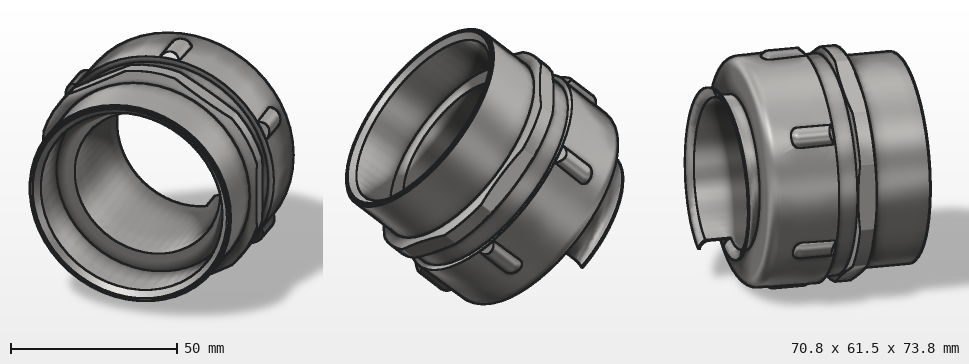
import cadquery as cq
import math

BARREL_DIAMETER = 64.3
BARREL_EDGE_CHAMFER = 0.45
BARREL_END = 17.05

NECK_DIAMETER = 67.2
NECK_END = 29.8

HEX_SIDES = 6
HEX_END = 23.6
HEX_ACROSS_FLATS = 68.1
HEX_CORNER_DIAMETER = 71.3
HEX_EDGE_ROUND = 1.85
HEX_FRONT_BEVEL_RADIUS = 32.25
HEX_FRONT_BEVEL_LENGTH = 1.2
HEX_REAR_BEVEL_RADIUS = NECK_DIAMETER / 2
HEX_REAR_BEVEL_LENGTH = 0.75

CAP_BASE_DIAMETER = 70.8
CAP_SHOULDER_DIAMETER = 70.1
CAP_END = 51.3
CAP_EDGE_RADIUS = 3.4

RIB_COUNT = 6
RIB_TILT = 3.2
RIB_RADIUS = 3.7
RIB_END = 43.2
RIB_END_ROUND = 2.4
RIB_BASE_BEVEL = 1.7
RIB_OVERALL_HEIGHT = 73.8
RIB_CENTER_RADIUS = (RIB_OVERALL_HEIGHT / 2 - RIB_RADIUS) / math.cos(math.radians(RIB_TILT))
RIB_TIP_RADIUS = RIB_CENTER_RADIUS + RIB_RADIUS

SOCKET_DIAMETER = 58.0
SOCKET_MOUTH_DIAMETER = 62.0
SOCKET_MOUTH_LENGTH = 1.7
SOCKET_DEPTH = 15.8
BORE_DIAMETER = 46.4

SPOUT_DIAMETER = 47.4
LIP_DIAMETER = 52.6
LIP_START = 53.6
LIP_END = 61.5
LIP_SEAM_ANGLE = -75.0
SPOUT_ROOT_LENGTH = 11.1
SPOUT_INNER_STOCK = 0.45
FLARE_OVERRUN = 1.85


def along_axis(upright):
    """Turn a solid built along +Z so that it runs along +Y, keeping +X in place."""
    return upright.rotate((0, 0, 0), (1, 0, 0), -90)


def make_turned_body():
    """Solid of revolution forming the barrel, neck and cap."""
    barrel_radius = BARREL_DIAMETER / 2
    neck_radius = NECK_DIAMETER / 2
    shoulder_radius = CAP_SHOULDER_DIAMETER / 2
    shoulder = CAP_END - CAP_EDGE_RADIUS
    arc_offset = CAP_EDGE_RADIUS * (1 - math.sqrt(0.5))
    return (
        cq.Workplane("XY")
        .lineTo(barrel_radius - BARREL_EDGE_CHAMFER, 0)
        .lineTo(barrel_radius, BARREL_EDGE_CHAMFER)
        .lineTo(barrel_radius, HEX_END - HEX_REAR_BEVEL_LENGTH)
        .lineTo(neck_radius, HEX_END - HEX_REAR_BEVEL_LENGTH)
        .lineTo(neck_radius, NECK_END)
        .lineTo(CAP_BASE_DIAMETER / 2, NECK_END)
        .lineTo(shoulder_radius, shoulder)
        .threePointArc(
            (shoulder_radius - arc_offset, CAP_END - arc_offset),
            (shoulder_radius - CAP_EDGE_RADIUS, CAP_END),
        )
        .lineTo(0, CAP_END)
        .close()
        .revolve(360, (0, 0), (0, 1))
    )


def make_hexagon():
    """Hexagon with corners on the Z axis, trimmed by a double-bevelled disc."""
    length = HEX_END - BARREL_END
    corner_radius = HEX_CORNER_DIAMETER / 2
    across_corners = HEX_ACROSS_FLATS / math.cos(math.pi / HEX_SIDES)
    prism = (
        cq.Workplane("XY")
        .polygon(HEX_SIDES, across_corners)
        .extrude(length)
        .rotate((0, 0, 0), (0, 0, 1), 180 / HEX_SIDES)
        .intersect(cq.Workplane("XY").circle(corner_radius).extrude(length))
        .edges("|Z")
        .fillet(HEX_EDGE_ROUND)
    )
    disc = (
        cq.Workplane("XY")
        .moveTo(0, BARREL_END)
        .lineTo(HEX_FRONT_BEVEL_RADIUS, BARREL_END)
        .lineTo(corner_radius, BARREL_END + HEX_FRONT_BEVEL_LENGTH)
        .lineTo(corner_radius, HEX_END - HEX_REAR_BEVEL_LENGTH)
        .lineTo(HEX_REAR_BEVEL_RADIUS, HEX_END)
        .lineTo(0, HEX_END)
        .close()
        .revolve(360, (0, 0), (0, 1))
    )
    return along_axis(prism).translate((0, BARREL_END, 0)).intersect(disc)


def make_ribs():
    """Round-ended ribs whose front ends are trimmed by a shared conical bevel."""
    rib = (
        cq.Workplane("XY")
        .circle(RIB_RADIUS)
        .extrude(RIB_END - NECK_END)
        .faces(">Z")
        .edges()
        .fillet(RIB_END_ROUND)
    )
    rib = along_axis(rib).translate((RIB_CENTER_RADIUS, NECK_END, 0))
    envelope = (
        cq.Workplane("XY")
        .moveTo(0, NECK_END)
        .lineTo(RIB_TIP_RADIUS - RIB_BASE_BEVEL, NECK_END)
        .lineTo(RIB_TIP_RADIUS, NECK_END + RIB_BASE_BEVEL)
        .lineTo(RIB_TIP_RADIUS, RIB_END)
        .lineTo(0, RIB_END)
        .close()
        .revolve(360, (0, 0), (0, 1))
    )
    rib = rib.intersect(envelope)
    ribs = cq.Workplane("XY")
    for index in range(RIB_COUNT):
        angle = 90 - RIB_TILT + index * 360 / RIB_COUNT
        ribs = ribs.union(rib.rotate((0, 0, 0), (0, 1, 0), -angle))
    return ribs


def make_spout():
    """Helical spout wall with a bell-shaped lip, left thick inside for boring out."""
    wall = (SPOUT_DIAMETER - BORE_DIAMETER) / 2
    outer_flare = (LIP_DIAMETER - SPOUT_DIAMETER) / 2
    outer_radius = SPOUT_DIAMETER / 2
    stock_radius = BORE_DIAMETER / 2 - SPOUT_INNER_STOCK
    inner_flare = outer_flare + wall
    flare_center = LIP_DIAMETER / 2
    diagonal = math.sqrt(0.5)
    pitch = LIP_END - LIP_START
    profile = (
        cq.Workplane("XZ")
        .moveTo(stock_radius, -SPOUT_ROOT_LENGTH)
        .lineTo(outer_radius, -SPOUT_ROOT_LENGTH)
        .lineTo(outer_radius, -inner_flare)
        .threePointArc(
            (flare_center - outer_flare * diagonal, -inner_flare + outer_flare * diagonal),
            (flare_center, -wall),
        )
        .lineTo(flare_center, 0)
        .threePointArc(
            (flare_center - inner_flare * diagonal, -inner_flare * (1 - diagonal)),
            (stock_radius, -inner_flare - FLARE_OVERRUN),
        )
        .close()
    )
    half_turn_path = cq.Workplane("XY").add(cq.Wire.makeHelix(pitch, pitch / 2, outer_radius))
    first_half = profile.sweep(half_turn_path, isFrenet=True)
    second_half = first_half.rotate((0, 0, 0), (0, 0, 1), 180).translate((0, 0, pitch / 2))
    spout = along_axis(first_half.union(second_half)).translate((0, LIP_START, 0))
    return spout.rotate((0, 0, 0), (0, 1, 0), -LIP_SEAM_ANGLE)


def make_opening():
    """Socket with a countersunk mouth, followed by the bore through the spout."""
    mouth_radius = SOCKET_MOUTH_DIAMETER / 2
    socket_radius = SOCKET_DIAMETER / 2
    bore_radius = BORE_DIAMETER / 2
    return (
        cq.Workplane("XY")
        .lineTo(mouth_radius, 0)
        .lineTo(socket_radius, SOCKET_MOUTH_LENGTH)
        .lineTo(socket_radius, SOCKET_DEPTH)
        .lineTo(bore_radius, SOCKET_DEPTH)
        .lineTo(bore_radius, LIP_END)
        .lineTo(0, LIP_END)
        .close()
        .revolve(360, (0, 0), (0, 1))
    )


body = make_turned_body().union(make_hexagon()).union(make_ribs())
result = body.union(make_spout()).cut(make_opening())